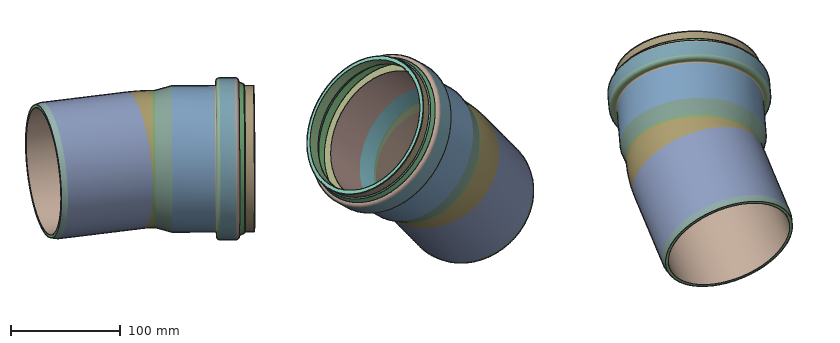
import cadquery as cq
import math

wall = 3.8
bend_angle = 15.0

spigot_radius = 125.2 / 2
spigot_bore_radius = 116.8 / 2
spigot_length = 86.1
spigot_chamfer_length = 5.9
spigot_chamfer_depth = 1.5
bend_radius = 62.7

collar_end = 2.3
cone_end = 17.5
bead_start = 57.9
bead_end = 78.8
groove_end = 80.7
lip_start = 83.2
lip_root_end = 84.0
socket_length = 92.5

socket_radius = 133.5 / 2
socket_bore_radius = 125.8 / 2
bead_radius = 147.8 / 2
bead_bore_radius = 140.2 / 2
bead_rounding = 3.3
bead_root_fillet = 1.0
shoulder_base_radius = 70.0
shoulder_top_radius = 68.1
mouth_chamfer_length = 0.6
mouth_chamfer_depth = 0.2

angle = math.radians(bend_angle)
elbow_end = (
    bend_radius * (1 - math.cos(angle)),
    spigot_length + bend_radius * math.sin(angle),
    0,
)
socket_plane = cq.Plane(
    origin=elbow_end,
    xDir=(math.cos(angle), -math.sin(angle), 0),
    normal=(0, 0, 1),
)


def revolve_about_axis(outline):
    """Turn a closed (radius, station) outline about the local Y axis."""
    return outline.close().revolve(360, (0, 0), (0, 1))


def make_spigot():
    outline = (
        cq.Workplane("XY")
        .moveTo(spigot_bore_radius, 0)
        .lineTo(spigot_radius - spigot_chamfer_depth, 0)
        .lineTo(spigot_radius, spigot_chamfer_length)
        .lineTo(spigot_radius, spigot_length)
        .lineTo(spigot_bore_radius, spigot_length)
    )
    return revolve_about_axis(outline)


def make_elbow():
    return (
        cq.Workplane("XZ", origin=(0, spigot_length, 0))
        .circle(spigot_radius)
        .circle(spigot_bore_radius)
        .revolve(bend_angle, (bend_radius, 2), (bend_radius, 0))
    )


def make_socket_body():
    outline = (
        cq.Workplane(socket_plane)
        .moveTo(spigot_bore_radius, 0)
        .lineTo(spigot_radius, 0)
        .lineTo(spigot_radius, collar_end)
        .lineTo(socket_radius, cone_end)
        .lineTo(socket_radius, socket_length - mouth_chamfer_length)
        .lineTo(socket_radius - mouth_chamfer_depth, socket_length)
        .lineTo(socket_bore_radius, socket_length)
        .lineTo(socket_bore_radius, cone_end)
        .lineTo(spigot_bore_radius, collar_end)
    )
    return revolve_about_axis(outline)


def make_bead():
    """Ring around the socket, with rounded rims and a steep shoulder and a bevelled step up to the lip."""
    arc_mid = 1 - math.sqrt(0.5)
    outline = (
        cq.Workplane(socket_plane)
        .moveTo(socket_bore_radius, bead_start - bead_root_fillet)
        .lineTo(socket_radius, bead_start - bead_root_fillet)
        .threePointArc(
            (socket_radius + arc_mid * bead_root_fillet, bead_start - arc_mid * bead_root_fillet),
            (socket_radius + bead_root_fillet, bead_start),
        )
        .lineTo(bead_radius - bead_rounding, bead_start)
        .threePointArc(
            (bead_radius - arc_mid * bead_rounding, bead_start + arc_mid * bead_rounding),
            (bead_radius, bead_start + bead_rounding),
        )
        .lineTo(bead_radius, bead_end - bead_rounding)
        .threePointArc(
            (bead_radius - arc_mid * bead_rounding, bead_end - arc_mid * bead_rounding),
            (bead_radius - bead_rounding, bead_end),
        )
        .lineTo(shoulder_base_radius, bead_end)
        .lineTo(shoulder_top_radius, lip_start)
        .lineTo(socket_radius, lip_root_end)
        .lineTo(socket_bore_radius, lip_root_end)
    )
    return revolve_about_axis(outline)


def make_groove():
    """Seal groove that follows the bead and its shoulder from inside."""
    outline = (
        cq.Workplane(socket_plane)
        .moveTo(0, bead_start + wall)
        .lineTo(bead_bore_radius, bead_start + wall)
        .lineTo(bead_bore_radius, bead_end - wall)
        .lineTo(shoulder_base_radius - wall, bead_end - wall)
        .lineTo(shoulder_top_radius - wall, groove_end)
        .lineTo(0, groove_end)
    )
    return revolve_about_axis(outline)


result = (
    make_spigot()
    .union(make_elbow())
    .union(make_socket_body())
    .union(make_bead())
    .cut(make_groove())
)